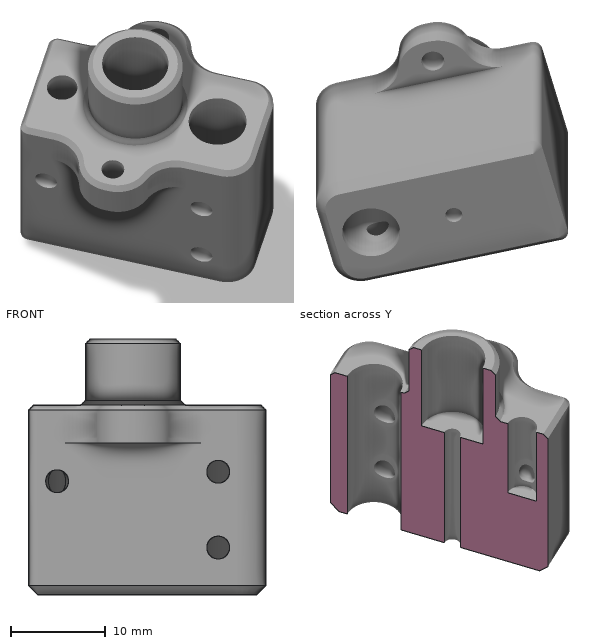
import cadquery as cq
import math

boss_to_left_side = 11.0
body_length = 25.0
body_width = 13.0
body_height = 20.0
total_height = 27.0
left_corner_radius = 1.0
right_corner_radius = 3.0
bottom_chamfer = 0.97
edge_chamfer = 0.5

flange_thickness = 4.0
flange_span = 23.0
lug_flat_half = 0.25
lug_radius = 3.62
lug_hole_diameter = 2.4
lug_hole_offset = 9.0

boss_diameter = 10.0
boss_bore_diameter = 7.0
pilot_diameter = 1.78

blind_hole_x = -8.0
blind_hole_diameter = 3.2
blind_hole_depth = 10.0
through_hole_x = 9.0
through_hole_diameter = 6.1

cross_hole_diameter = 2.4
left_cross_hole_z = 12.0
cross_hole_depth = 5.0
drill_point_angle = 118
right_cross_hole_heights = (5.0, 13.0)

left_x = -boss_to_left_side
right_x = left_x + body_length
side_y = body_width / 2
flange_bottom = body_height - flange_thickness
blind_hole_floor = body_height - blind_hole_depth


def vertical_hole(x, y, diameter, bottom, top):
    return cq.Workplane("XY", (x, y, bottom)).circle(diameter / 2).extrude(top - bottom)


def cross_hole(x, z):
    radius = cross_hole_diameter / 2
    shoulder_y = cross_hole_depth - side_y
    tip_y = shoulder_y + radius / math.tan(math.radians(drill_point_angle / 2))
    return (
        cq.Workplane("XY", (x, 0, z))
        .moveTo(0, -side_y)
        .lineTo(radius, -side_y)
        .lineTo(radius, shoulder_y)
        .lineTo(0, tip_y)
        .close()
        .revolve(360, (0, 0, 0), (0, 1, 0))
    )


def block():
    middle_x = (left_x + right_x) / 2
    box = cq.Workplane("XY", (middle_x, 0, 0)).box(
        body_length, body_width, body_height, centered=(True, True, False)
    )
    box = box.edges("|Z and <X").fillet(left_corner_radius)
    return box.edges("|Z and >X").fillet(right_corner_radius)


def lug_pair():
    tip_y = flange_span / 2
    rise = tip_y - side_y
    run = math.sqrt(rise * (4 * lug_radius - rise))
    root_x = lug_flat_half + run
    joint = (lug_flat_half + run / 2, side_y + rise / 2)
    half_sweep = math.asin(run / 2 / lug_radius) / 2
    across = lug_radius * math.sin(half_sweep)
    drop = lug_radius * (1 - math.cos(half_sweep))
    tip_mid = (lug_flat_half + across, tip_y - drop)
    root_mid = (root_x - across, side_y + drop)
    right_lug_half = (
        cq.Workplane("XY", (0, 0, flange_bottom))
        .lineTo(0, tip_y)
        .lineTo(lug_flat_half, tip_y)
        .threePointArc(tip_mid, joint)
        .threePointArc(root_mid, (root_x, side_y))
        .lineTo(root_x, 0)
        .close()
        .extrude(flange_thickness)
    )
    lug = right_lug_half.union(right_lug_half.mirror("YZ"))
    return lug.union(lug.mirror("XZ"))


body = block().faces("<Z").chamfer(bottom_chamfer)
body = body.union(lug_pair())
body = body.faces(">Z").chamfer(edge_chamfer)

boss = (
    cq.Workplane("XY", (0, 0, flange_bottom))
    .circle(boss_diameter / 2)
    .extrude(total_height - flange_bottom)
    .faces(">Z")
    .chamfer(edge_chamfer)
)
foot = (
    cq.Workplane("XY", (0, 0, body_height))
    .circle(boss_diameter / 2 + edge_chamfer)
    .workplane(offset=edge_chamfer)
    .circle(boss_diameter / 2)
    .loft()
)
result = body.union(boss).union(foot)

result = result.cut(
    vertical_hole(0, 0, boss_bore_diameter, flange_bottom, total_height)
)
result = result.cut(vertical_hole(0, 0, pilot_diameter, 0, total_height))
result = result.cut(vertical_hole(through_hole_x, 0, through_hole_diameter, 0, body_height))
result = result.cut(
    vertical_hole(blind_hole_x, 0, blind_hole_diameter, blind_hole_floor, body_height)
)
for lug_y in (-lug_hole_offset, lug_hole_offset):
    result = result.cut(vertical_hole(0, lug_y, lug_hole_diameter, 0, body_height))

result = result.cut(cross_hole(blind_hole_x, left_cross_hole_z))
for hole_z in right_cross_hole_heights:
    result = result.cut(cross_hole(through_hole_x, hole_z))